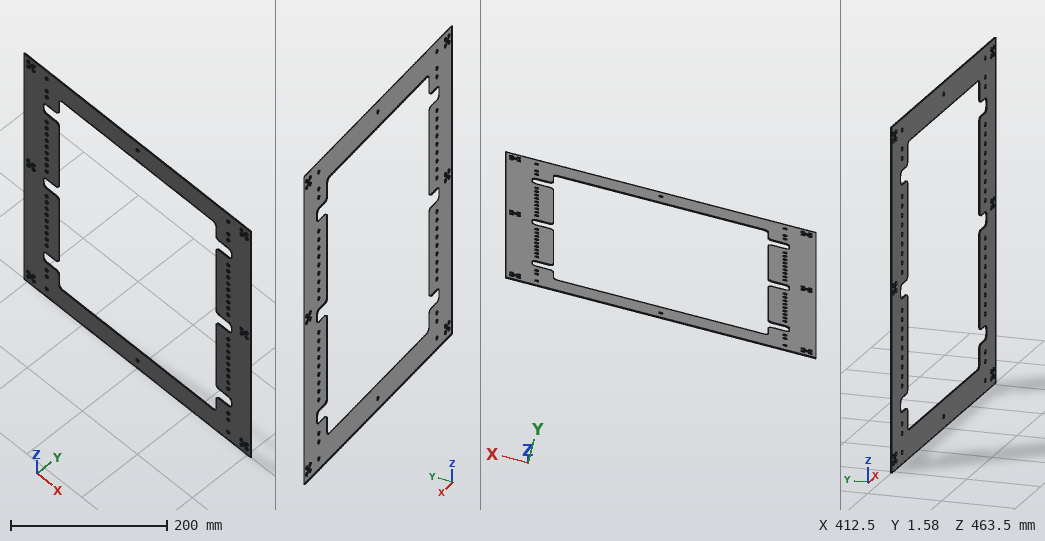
import cadquery as cq

plate_width = 412.5
plate_height = 463.5
plate_thickness = 1.58

opening_width = 285.5
opening_height = 387.5
notch_span = 342.0
notch_height = 19.5
corner_radius = 6.0

hole_diameter = 5.0
end_row_height = 216.0
end_row_step = 17
hole_pitch = end_row_height / end_row_step
column_offset = 165.0
column_steps = [*range(2, 11), 14, 15, end_row_step]
notch_step = 12

cluster_offset = 194.0
cluster_steps = [-end_row_step, 1, end_row_step]
cluster_spacing = 9.7


def prism(sketch):
    """Extrude a sketch through the plate thickness, centred on Y = 0."""
    return sketch.extrude(plate_thickness / 2, both=True)


def make_opening():
    """Rounded opening with three notches cut into each side."""
    opening = prism(cq.Workplane("XZ").rect(opening_width, opening_height))
    opening = opening.edges("|Y").fillet(corner_radius)

    notch_heights = [step * hole_pitch for step in (-notch_step, 0, notch_step)]
    notch_centres = [(0, z) for z in notch_heights]
    notches = prism(cq.Workplane("XZ").pushPoints(notch_centres).rect(notch_span, notch_height))
    notches = notches.edges("|Y").fillet(corner_radius)
    opening = opening.union(notches)

    tolerance = 0.05
    mouth_edges = []
    for edge in opening.edges("|Y").vals():
        centre = edge.Center()
        on_side = abs(abs(centre.x) - opening_width / 2) < tolerance
        beside_notch = any(
            abs(abs(centre.z - z) - notch_height / 2) < tolerance for z in notch_heights
        )
        if on_side and beside_notch:
            mouth_edges.append(edge)
    return opening.newObject(mouth_edges).fillet(corner_radius)


def hole_centres():
    """Centres of the side columns, the two mid-edge holes and the clusters."""
    half_spacing = cluster_spacing / 2
    centres = [(0, -end_row_height), (0, end_row_height)]
    for side in (-1, 1):
        for step in column_steps:
            for half in (-1, 1):
                centres.append((side * column_offset, half * step * hole_pitch))
        for step in cluster_steps:
            x = side * cluster_offset
            z = step * hole_pitch
            centres.append((x, z))
            for dx in (-half_spacing, half_spacing):
                for dz in (-half_spacing, half_spacing):
                    centres.append((x + dx, z + dz))
    return centres


plate = prism(cq.Workplane("XZ").rect(plate_width, plate_height))
holes = prism(cq.Workplane("XZ").pushPoints(hole_centres()).circle(hole_diameter / 2))
result = plate.cut(make_opening()).cut(holes)